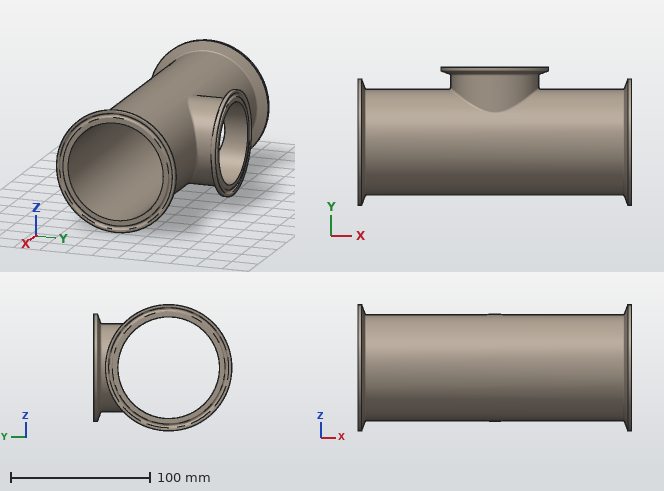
import cadquery as cq
import math

run_length = 196.85
run_outer_radius = 76.2 / 2
run_bore_radius = 72.9 / 2
run_flange_radius = 90.91 / 2

branch_reach = 53.975
branch_outer_radius = 63.5 / 2
branch_bore_radius = 60.2 / 2
branch_flange_radius = 77.39 / 2
junction_fillet = 1.5

ferrule_length = 12.7
rim_thickness = 2.8
rim_fillet = 0.25
back_angle = math.radians(20)
neck_fillet = 1.1

groove_outer_inset = 2.2
groove_width = 2.8
groove_depth = 1.5
groove_outer_lip_fillet = 0.8
groove_inner_lip_fillet = 0.4


def flange_blank(flange_radius, tube_radius):
    """Solid ferrule on the Z axis: face at z = 0, tube side toward +Z."""
    cone_end = rim_thickness + (flange_radius - tube_radius) * math.tan(back_angle)
    profile = (
        cq.Workplane("XZ")
        .lineTo(flange_radius, 0)
        .lineTo(flange_radius, rim_thickness)
        .lineTo(tube_radius, cone_end)
        .lineTo(tube_radius, ferrule_length)
        .lineTo(0, ferrule_length)
        .close()
    )
    blank = profile.revolve(360, (0, 0, 0), (0, 1, 0))
    neck_corner = cq.selectors.NearestToPointSelector((0, 0, cone_end))
    return blank.edges(neck_corner).fillet(neck_fillet)


def gasket_groove(flange_radius):
    """Ring of round section to cut from a flange face at z = 0."""
    outer = flange_radius - groove_outer_inset
    inner = outer - groove_width
    section = (
        cq.Workplane("XZ")
        .moveTo(inner, 0)
        .threePointArc(((inner + outer) / 2, groove_depth), (outer, 0))
        .close()
    )
    return section.revolve(360, (0, 0, 0), (0, 1, 0))


def clamp_flange(flange_radius, tube_radius):
    """Solid ferrule with its gasket groove cut and its edges rounded."""
    grooved = flange_blank(flange_radius, tube_radius).cut(gasket_groove(flange_radius))
    face_edges = grooved.faces("<Z").edges()
    inner_lip = face_edges.edges(cq.selectors.RadiusNthSelector(0))
    lip_rounded = inner_lip.fillet(groove_inner_lip_fillet)
    face_edges = lip_rounded.faces("<Z").edges()
    outer_lip = face_edges.edges(cq.selectors.RadiusNthSelector(-2))
    lips_rounded = outer_lip.fillet(groove_outer_lip_fillet)
    return lips_rounded.edges(cq.selectors.RadiusNthSelector(-1)).fillet(rim_fillet)


def tee_body():
    """Solid run and branch, with a fillet where they meet; ends stop inside the rims."""
    run = cq.Workplane("YZ").circle(run_outer_radius).extrude(run_length / 2 - rim_thickness, both=True)
    branch = cq.Workplane("XZ").circle(branch_outer_radius).extrude(-(branch_reach - rim_thickness))
    body = run.union(branch)
    saddle = body.edges("not (%CIRCLE or %LINE)")
    return saddle.fillet(junction_fillet)


def add_flanges(body):
    run_flange = clamp_flange(run_flange_radius, run_outer_radius)
    left = run_flange.rotate((0, 0, 0), (0, 1, 0), 90).translate((-run_length / 2, 0, 0))
    right = left.mirror("YZ")
    branch_flange = clamp_flange(branch_flange_radius, branch_outer_radius)
    back = branch_flange.rotate((0, 0, 0), (1, 0, 0), 90).translate((0, branch_reach, 0))
    return body.union(left).union(right).union(back)


def cut_bores(body):
    run_bore = cq.Workplane("YZ").circle(run_bore_radius).extrude(run_length / 2, both=True)
    branch_bore = cq.Workplane("XZ").circle(branch_bore_radius).extrude(-branch_reach)
    return body.cut(run_bore).cut(branch_bore)


result = cut_bores(add_flanges(tee_body()))